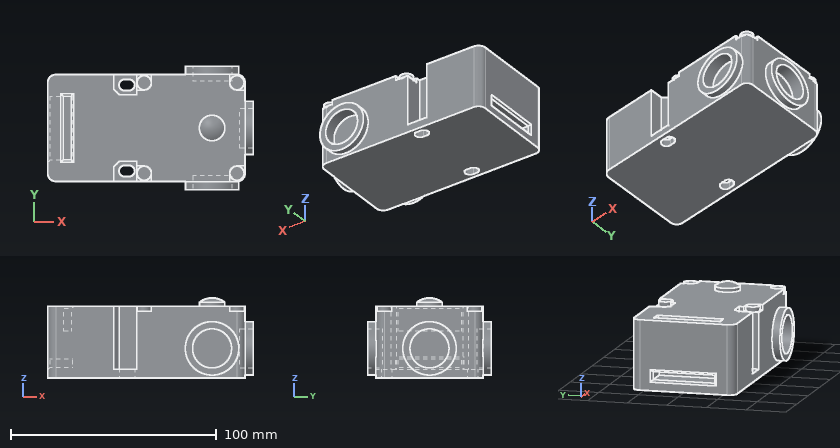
import cadquery as cq
import math

LENGTH = 96.0
WIDTH = 52.0
HEIGHT = 35.0
CORNER_RADIUS = 4.0
SIDE_Y = WIDTH / 2

ENTRY_X = 79.9
ENTRY_Z = 14.5
COLLAR_DIAMETER = 26.0
COLLAR_LENGTH = 4.0
BORE_DIAMETER = 19.0
BORE_DEPTH = 7.0

SLOT_LENGTH = 31.0
SLOT_WIDTH = 4.0
SLOT_CHAMFER = 1.1
SLOT_DEPTH = 12.0
TOP_SLOT_X = 9.5
END_SLOT_Z = 7.4

NOTCH_START = 32.1
NOTCH_END = 43.3
NOTCH_DEPTH = 9.9
NOTCH_CHAMFER = 2.8
NOTCH_FLOOR = 4.4
BOLT_HOLE_X = 38.5
BOLT_HOLE_INSET = 5.1
BOLT_HOLE_LENGTH = 7.5
BOLT_HOLE_WIDTH = 5.3

SCREW_DIAMETER = 6.9
SCREW_GAP = 0.1
RECESS_RADIUS = SCREW_DIAMETER / 2 + SCREW_GAP
RECESS_DEPTH = 2.5
SCREW_INSET = 4.0
FRONT_SCREW_X = 46.9
REAR_SCREW_X = LENGTH - SCREW_INSET

LENS_DIAMETER = 12.4
LENS_RIM = 1.9
LENS_HEIGHT = 4.1


def block():
    body = cq.Workplane("XY").box(LENGTH, WIDTH, HEIGHT, centered=(False, True, False))
    return body.edges("|Z").fillet(CORNER_RADIUS)


def entry_planes():
    """Planes on the outer ends of the three collars, facing outwards."""
    side_end = SIDE_Y + COLLAR_LENGTH
    return [
        cq.Plane((ENTRY_X, -side_end, ENTRY_Z), xDir=(1, 0, 0), normal=(0, -1, 0)),
        cq.Plane((ENTRY_X, side_end, ENTRY_Z), xDir=(1, 0, 0), normal=(0, 1, 0)),
        cq.Plane((LENGTH + COLLAR_LENGTH, 0, ENTRY_Z), xDir=(0, 1, 0), normal=(1, 0, 0)),
    ]


def disc(plane, diameter, depth):
    """A cylinder running inwards from the plane."""
    return cq.Workplane(plane).circle(diameter / 2).extrude(-depth)


def key_slot(plane):
    """A rectangular pocket with a chamfered mouth, long side along Y."""
    pocket = cq.Workplane(plane).rect(SLOT_WIDTH, SLOT_LENGTH).extrude(-SLOT_DEPTH)
    mouth = (
        cq.Workplane(plane)
        .rect(SLOT_WIDTH + 2 * SLOT_CHAMFER, SLOT_LENGTH + 2 * SLOT_CHAMFER)
        .extrude(-SLOT_CHAMFER, taper=45)
    )
    return pocket.union(mouth)


def notch(side):
    inner_y = side * (SIDE_Y - NOTCH_DEPTH)
    outline = [
        (NOTCH_START, side * SIDE_Y),
        (NOTCH_START, inner_y + side * NOTCH_CHAMFER),
        (NOTCH_START + NOTCH_CHAMFER, inner_y),
        (NOTCH_END, inner_y),
        (NOTCH_END, side * SIDE_Y),
    ]
    pocket = cq.Workplane("XY").workplane(offset=NOTCH_FLOOR).polyline(outline).close().extrude(HEIGHT)
    bolt_hole = (
        cq.Workplane("XY")
        .center(BOLT_HOLE_X, side * (SIDE_Y - BOLT_HOLE_INSET))
        .slot2D(BOLT_HOLE_LENGTH, BOLT_HOLE_WIDTH)
        .extrude(NOTCH_FLOOR)
    )
    return pocket.union(bolt_hole)


def screw_recess(x, open_x, side):
    """A pocket rounded around the screw on its inner corner, open to the long side and to open_x."""
    screw_y = side * (SIDE_Y - SCREW_INSET)
    inner_y = screw_y - side * RECESS_RADIUS
    closed_x = x + math.copysign(RECESS_RADIUS, x - open_x)
    diagonal = math.sqrt(0.5)
    arc_middle = (x + (closed_x - x) * diagonal, screw_y + (inner_y - screw_y) * diagonal)
    return (
        cq.Workplane("XY")
        .workplane(offset=HEIGHT - RECESS_DEPTH)
        .moveTo(open_x, inner_y)
        .lineTo(x, inner_y)
        .threePointArc(arc_middle, (closed_x, screw_y))
        .lineTo(closed_x, side * SIDE_Y)
        .lineTo(open_x, side * SIDE_Y)
        .close()
        .extrude(RECESS_DEPTH)
    )


def screw_head(x, side):
    plane = cq.Plane((x, side * (SIDE_Y - SCREW_INSET), HEIGHT))
    return disc(plane, SCREW_DIAMETER, RECESS_DEPTH)


def make_housing():
    body = block()
    for plane in entry_planes():
        body = body.union(disc(plane, COLLAR_DIAMETER, COLLAR_LENGTH + CORNER_RADIUS))
    for plane in entry_planes():
        body = body.cut(disc(plane, BORE_DIAMETER, BORE_DEPTH))
    body = body.cut(key_slot(cq.Plane((TOP_SLOT_X, 0, HEIGHT), xDir=(1, 0, 0), normal=(0, 0, 1))))
    body = body.cut(key_slot(cq.Plane((0, 0, END_SLOT_Z), xDir=(0, 0, 1), normal=(-1, 0, 0))))
    for side in (-1, 1):
        body = body.cut(notch(side))
        for x, open_x in ((FRONT_SCREW_X, NOTCH_END), (REAR_SCREW_X, LENGTH)):
            body = body.cut(screw_recess(x, open_x, side))
            body = body.union(screw_head(x, side))
    return body


def make_lens():
    radius = LENS_DIAMETER / 2
    dome = LENS_HEIGHT - LENS_RIM
    sphere_radius = (radius**2 + dome**2) / (2 * dome)
    profile = (
        cq.Workplane("XZ")
        .lineTo(radius, 0)
        .lineTo(radius, LENS_RIM)
        .radiusArc((0, LENS_HEIGHT), -sphere_radius)
        .close()
    )
    return profile.revolve(360, (0, 0, 0), (0, 1, 0)).translate((ENTRY_X, 0, HEIGHT))


housing = make_housing()
lens = make_lens()
result = cq.Compound.makeCompound([housing.val(), lens.val()])